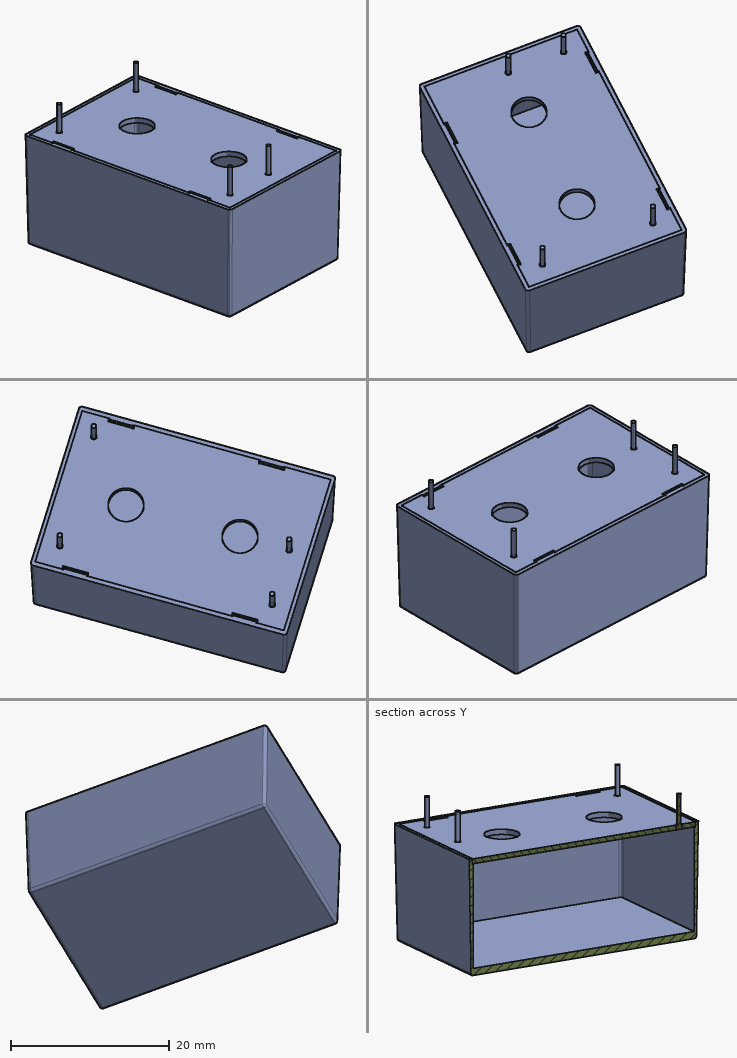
import cadquery as cq

case_length = 33.7
case_width = 22.2
case_height = 15.4
draft_angle = 1.0
case_edge_radius = 0.4
floor_thickness = 1.0

end_rim = 0.5
side_rim = 0.57
lid_length = case_length - 2 * end_rim
lid_width = case_width - 2 * side_rim
lid_thickness = 0.7
lid_bottom = case_height - lid_thickness

ledge = 0.2
cavity_corner_radius = 0.4

opening_diameter = 4.5
opening_spacing = 15.0

tab_length = 3.1
tab_flat = 0.12
tab_ramp = 0.2
tab_ramp_height = 0.12
tab_reach = tab_flat + tab_ramp
notch_gap = 0.12
tab_offset = 11.15
shifted_tab_offset = tab_offset - 2.5
tab_places = [
    (-tab_offset, 1),
    (shifted_tab_offset, 1),
    (-tab_offset, -1),
    (tab_offset, -1),
]

grid = 2.54
pin_x = 5.5 * grid
pin_y = 3 * grid
pin_diameter = 0.6
pin_length = 4.0
collar_diameter = 0.75
pin_positions = [(-pin_x, pin_y), (-pin_x, -pin_y), (pin_x, 0), (pin_x, -pin_y)]


def make_tab(x, side):
    """Tab on a long wall: a flat top, a lead-in ramp down to its full reach, then straight down."""
    wall = lid_width / 2
    profile = [
        (side * wall, case_height),
        (side * (wall - tab_flat), case_height),
        (side * (wall - tab_reach), case_height - tab_ramp_height),
        (side * (wall - tab_reach), lid_bottom),
        (side * wall, lid_bottom),
    ]
    wedge = cq.Workplane("YZ").polyline(profile).close().extrude(tab_length / 2, both=True)
    return wedge.translate((x, 0, 0))


def make_case():
    """Hollow box with rounded, drafted sides, a seat for the lid and the snap tabs."""
    shell = (
        cq.Workplane("XY", origin=(0, 0, case_height))
        .rect(case_length, case_width)
        .extrude(-case_height, taper=draft_angle)
    )
    shell = shell.edges("not(>Z)").fillet(case_edge_radius)
    lid_seat = (
        cq.Workplane("XY", origin=(0, 0, lid_bottom))
        .rect(lid_length, lid_width)
        .extrude(lid_thickness)
    )
    cavity = (
        cq.Workplane("XY", origin=(0, 0, floor_thickness))
        .rect(lid_length - 2 * ledge, lid_width - 2 * ledge)
        .extrude(lid_bottom - floor_thickness)
        .edges("|Z")
        .fillet(cavity_corner_radius)
    )
    case = shell.cut(lid_seat).cut(cavity)
    for x, side in tab_places:
        case = case.union(make_tab(x, side))
    return case


def make_lid():
    """Plate with two openings, the pin holes and a notch around each tab."""
    plate = cq.Workplane("XY", origin=(0, 0, lid_bottom)).rect(lid_length, lid_width).extrude(lid_thickness)
    openings = [(-opening_spacing / 2, 0), (opening_spacing / 2, 0)]
    top_plane = cq.Workplane("XY", origin=(0, 0, case_height))
    plate = plate.cut(top_plane.pushPoints(openings).circle(opening_diameter / 2).extrude(-lid_thickness))
    plate = plate.cut(top_plane.pushPoints(pin_positions).circle(collar_diameter / 2).extrude(-lid_thickness))
    notch_depth = tab_reach + notch_gap
    notch_length = tab_length + 2 * notch_gap
    for x, side in tab_places:
        lid_edge = cq.Workplane("XY", origin=(x, side * lid_width / 2, lid_bottom))
        plate = plate.cut(lid_edge.rect(notch_length, 2 * notch_depth).extrude(lid_thickness))
    return plate


def make_pin(x, y):
    """Collar within the lid and the slimmer pin standing on it."""
    collar = cq.Workplane("XY", origin=(x, y, lid_bottom)).circle(collar_diameter / 2).extrude(lid_thickness)
    return collar.faces(">Z").workplane().circle(pin_diameter / 2).extrude(pin_length)


case = make_case()
lid = make_lid()
pins = [make_pin(x, y) for x, y in pin_positions]
result = cq.Compound.makeCompound([case.val(), lid.val(), *[pin.val() for pin in pins]])